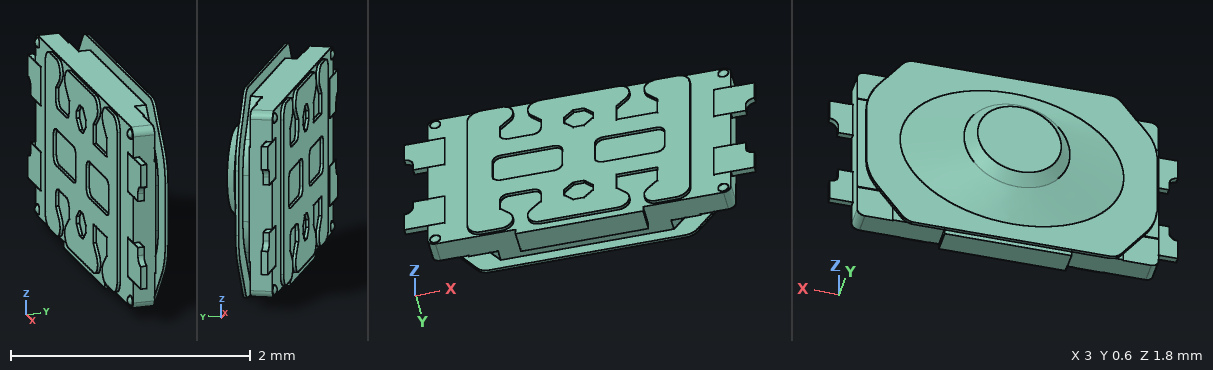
import cadquery as cq
import math


HOUSING_WIDTH = 2.598
HOUSING_HEIGHT = 1.595
HOUSING_DEPTH = 0.198
HOUSING_CORNER_RADIUS = 0.065
TAB_WIDTH = 1.092
TAB_DROP = 0.055
CORNER_STEP_SIZE = 0.305
CORNER_STEP_DEPTH = 0.01

SLANT_ANGLE = 53.5
SIDE_RADIUS = 0.48

COLLAR_DEPTH = 0.1
COLLAR_WIDTH = 2.135
COLLAR_TOP_WIDTH = 1.482

BUMP_RADIUS = 0.045
BUMP_X = 1.233
BUMP_Z = 0.735

PLATE_WIDTH = 1.908
PLATE_HEIGHT = 1.56
PLATE_THICKNESS = 0.027
PLATE_CORNER_RADIUS = 0.12
WINDOW_WIDTH = 0.6
WINDOW_HEIGHT = 0.318
WINDOW_RADIUS = 0.072
WINDOW_X = 0.438
PEEPHOLE_WIDTH = 0.25
PEEPHOLE_HEIGHT = 0.22
PEEPHOLE_CHAMFER = 0.078
PEEPHOLE_Z = 0.465
SLOT_X = 0.498
SLOT_WIDTH = 0.355
SLOT_NECK_WIDTH = 0.125
SLOT_FLOOR_Z = 0.355
SLOT_MOUTH_RADIUS = 0.102
SLOT_FLOOR_RADIUS = 0.072

TERMINAL_THICKNESS = 0.055
TERMINAL_OUTER_X = 1.5
TERMINAL_INNER_X = 1.152
TERMINAL_TOP_Z = 0.545
TERMINAL_BOTTOM_Z = 0.205
NOTCH_WIDTH = 0.075
NOTCH_TOP_Z = 0.348

FILM_WIDTH = 2.502
FILM_HEIGHT = 1.8
FILM_TOP_WIDTH = 1.812
FILM_TOP_RADIUS = 0.132
FILM_THICKNESS = 0.027
DOME_BASE_WIDTH = 1.925
DOME_BASE_HEIGHT = 1.458
DOME_RISE = 0.168
BUTTON_BASE_RADIUS = 0.455
BUTTON_TOP_RADIUS = 0.36
BUTTON_RISE = 0.08

SIDES = (-1, 1)
COLLAR_TOP_Y = HOUSING_DEPTH + COLLAR_DEPTH
FILM_TOP_Y = COLLAR_TOP_Y + FILM_THICKNESS


def front_plane(y):
    """Sketch plane facing -Y at the given y; sketch x is X and sketch y is Z."""
    return cq.Workplane("XZ", origin=(0, y, 0))


def block(width, height, depth, x=0, y=0, z=0):
    """Box centred on x and z, running from y toward +Y."""
    return cq.Workplane("XY").box(width, depth, height).translate((x, y + depth / 2, z))


def eight_sided_slab(width, height, top_width, thickness, y):
    """Rectangle with slanted corners, rounded where the slants meet the +X and -X edges."""
    side = width / 2
    top = height / 2
    top_end = top_width / 2
    side_end = top - (side - top_end) * math.tan(math.radians(SLANT_ANGLE))
    outline = [
        (side, side_end), (top_end, top), (-top_end, top), (-side, side_end),
        (-side, -side_end), (-top_end, -top), (top_end, -top), (side, -side_end),
    ]
    slab = front_plane(y).polyline(outline).close().extrude(-thickness)
    return slab.edges("|Y").edges("<X or >X").fillet(SIDE_RADIUS)


def make_terminal(side_x, side_z):
    """Flat terminal with a rounded notch in its outer corner nearest the middle."""
    notch_x = TERMINAL_OUTER_X - NOTCH_WIDTH
    arc_z = NOTCH_TOP_Z - NOTCH_WIDTH
    diagonal = NOTCH_WIDTH * math.sqrt(0.5)
    terminal = (
        front_plane(0)
        .moveTo(TERMINAL_INNER_X, TERMINAL_BOTTOM_Z)
        .lineTo(notch_x, TERMINAL_BOTTOM_Z)
        .lineTo(notch_x, arc_z)
        .threePointArc((TERMINAL_OUTER_X - diagonal, arc_z + diagonal), (TERMINAL_OUTER_X, NOTCH_TOP_Z))
        .lineTo(TERMINAL_OUTER_X, TERMINAL_TOP_Z)
        .lineTo(TERMINAL_INNER_X, TERMINAL_TOP_Z)
        .close()
        .extrude(-TERMINAL_THICKNESS)
    )
    if side_x < 0:
        terminal = terminal.mirror("YZ")
    if side_z < 0:
        terminal = terminal.mirror("XY")
    return terminal


def make_bump(x, z):
    """Spherical cap standing on the mounting face, as tall as the plate is thick."""
    sphere_radius = (BUMP_RADIUS**2 + PLATE_THICKNESS**2) / (2 * PLATE_THICKNESS)
    sphere = cq.Workplane("XY").sphere(sphere_radius).translate((x, sphere_radius - PLATE_THICKNESS, z))
    cap_zone = block(2 * sphere_radius, 2 * sphere_radius, 2 * PLATE_THICKNESS, x, -PLATE_THICKNESS, z)
    return sphere.intersect(cap_zone)


def make_housing(terminals):
    """Stepped block with a tab, bumps and a collar, recessed for the terminals."""
    housing = block(HOUSING_WIDTH, HOUSING_HEIGHT, HOUSING_DEPTH)
    housing = housing.edges("|Y").fillet(HOUSING_CORNER_RADIUS)
    tab_height = TAB_DROP + HOUSING_CORNER_RADIUS
    tab_z = -HOUSING_HEIGHT / 2 - TAB_DROP + tab_height / 2
    housing = housing.union(block(TAB_WIDTH, tab_height, HOUSING_DEPTH, z=tab_z))
    step_floor_y = HOUSING_DEPTH - CORNER_STEP_DEPTH
    for side_x in SIDES:
        for side_z in SIDES:
            corner_step = block(2 * CORNER_STEP_SIZE, 2 * CORNER_STEP_SIZE, CORNER_STEP_DEPTH,
                                side_x * HOUSING_WIDTH / 2, step_floor_y, side_z * HOUSING_HEIGHT / 2)
            housing = housing.cut(corner_step)
            housing = housing.union(make_bump(side_x * BUMP_X, side_z * BUMP_Z))
    collar = eight_sided_slab(COLLAR_WIDTH, HOUSING_HEIGHT, COLLAR_TOP_WIDTH, COLLAR_DEPTH, HOUSING_DEPTH)
    housing = housing.union(collar)
    for terminal in terminals:
        housing = housing.cut(terminal)
    return housing


def make_slot(side_x, side_z):
    """Slot opening through the plate edge: wide floor, 45 degree shoulders and a flared neck."""
    half_width = SLOT_WIDTH / 2
    half_neck = SLOT_NECK_WIDTH / 2
    edge_z = PLATE_HEIGHT / 2
    arc_u = half_neck + SLOT_MOUTH_RADIUS
    arc_z = edge_z - SLOT_MOUTH_RADIUS
    diagonal = SLOT_MOUTH_RADIUS * math.sqrt(0.5)
    tangent_u = arc_u - diagonal
    tangent_z = arc_z - diagonal
    shoulder_z = tangent_z - (half_width - tangent_u)
    slot = (
        front_plane(0)
        .moveTo(-half_width, SLOT_FLOOR_Z)
        .lineTo(half_width, SLOT_FLOOR_Z)
        .lineTo(half_width, shoulder_z)
        .lineTo(tangent_u, tangent_z)
        .threePointArc((half_neck, arc_z), (arc_u, edge_z))
        .lineTo(-arc_u, edge_z)
        .threePointArc((-half_neck, arc_z), (-tangent_u, tangent_z))
        .lineTo(-half_width, shoulder_z)
        .close()
        .extrude(PLATE_THICKNESS)
    )
    if side_x < 0:
        slot = slot.edges("|Y and <Z").fillet(SLOT_FLOOR_RADIUS)
    slot = slot.translate((side_x * SLOT_X, 0, 0))
    return slot if side_z > 0 else slot.mirror("XY")


def make_plate():
    """Thin plate with two windows, two peepholes and four edge slots."""
    front_y = -PLATE_THICKNESS
    plate = block(PLATE_WIDTH, PLATE_HEIGHT, PLATE_THICKNESS, y=front_y)
    plate = plate.edges("|Y").fillet(PLATE_CORNER_RADIUS)
    window = block(WINDOW_WIDTH, WINDOW_HEIGHT, PLATE_THICKNESS, y=front_y)
    window = window.edges("|Y").fillet(WINDOW_RADIUS)
    peephole = block(PEEPHOLE_WIDTH, PEEPHOLE_HEIGHT, PLATE_THICKNESS, y=front_y)
    peephole = peephole.edges("|Y").chamfer(PEEPHOLE_CHAMFER)
    for side in SIDES:
        plate = plate.cut(window.translate((side * WINDOW_X, 0, 0)))
        plate = plate.cut(peephole.translate((0, 0, side * PEEPHOLE_Z)))
        for side_z in SIDES:
            plate = plate.cut(make_slot(side, side_z))
    return plate


def make_film():
    """Thin film carrying an oval dome that narrows to a tapered round button."""
    film = eight_sided_slab(FILM_WIDTH, FILM_HEIGHT, FILM_TOP_WIDTH, FILM_THICKNESS, COLLAR_TOP_Y)
    film = film.edges("|Y").edges("<Z or >Z").fillet(FILM_TOP_RADIUS)
    dome = (
        front_plane(FILM_TOP_Y)
        .ellipse(DOME_BASE_WIDTH / 2, DOME_BASE_HEIGHT / 2)
        .workplane(offset=-DOME_RISE)
        .circle(BUTTON_BASE_RADIUS)
        .loft()
    )
    button = (
        front_plane(FILM_TOP_Y + DOME_RISE)
        .circle(BUTTON_BASE_RADIUS)
        .workplane(offset=-BUTTON_RISE)
        .circle(BUTTON_TOP_RADIUS)
        .loft()
    )
    return film.union(dome).union(button)


terminals = [make_terminal(side_x, side_z) for side_x in SIDES for side_z in SIDES]
housing = make_housing(terminals)
plate = make_plate()
film = make_film()

result = cq.Compound.makeCompound([
    housing.val(), plate.val(), film.val(), *[terminal.val() for terminal in terminals],
])